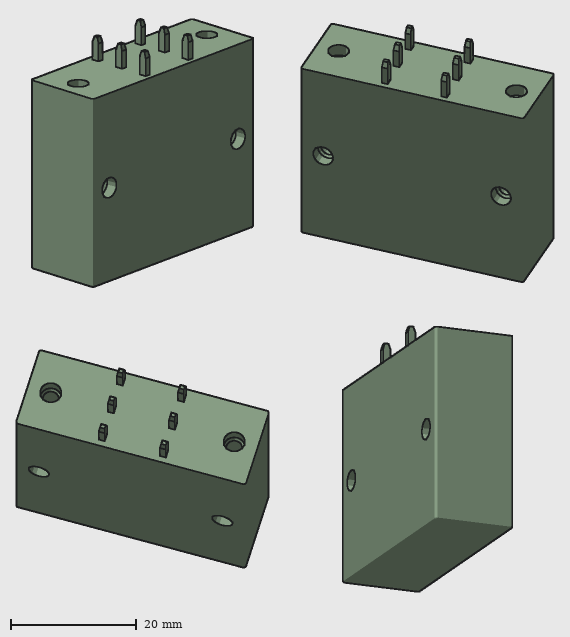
import cadquery as cq

body_x = 13.4
body_y = 38.08
body_z = 32.0
edge_radius = 0.4

pin_x = 1.3
pin_y = 1.0
pin_height = 4.0
tip_height = 1.0
tip_x = 0.65
tip_y = 0.75
pin_pitch_x = 5.05
pin_pitch_y = 2 * pin_pitch_x
pin_columns = 3
pin_rows = 2

hole_spacing = 6 * pin_pitch_x
wide_bore_diameter = 3.35
wide_bore_depth = 1.98
narrow_bore_diameter = 2.55

pin_overlap = 0.05


def make_body():
    """Block with its base at Z = 0, rounded everywhere except around the top face."""
    block = cq.Workplane("XY").box(body_x, body_y, body_z, centered=(True, True, False))
    return block.edges("|Z or <Z").fillet(edge_radius)


def make_pin(x, y):
    """Rectangular pin standing on the top face, with a tapered tip."""
    shank_height = pin_height - tip_height
    shank = (
        cq.Workplane("XY", origin=(x, y, body_z - pin_overlap))
        .rect(pin_x, pin_y)
        .extrude(shank_height + pin_overlap)
    )
    tip = (
        cq.Workplane("XY", origin=(x, y, body_z + shank_height))
        .rect(pin_x, pin_y)
        .workplane(offset=tip_height)
        .rect(tip_x, tip_y)
        .loft(ruled=True)
    )
    return shank.union(tip)


def stepped_hole(mouth, direction, depth):
    """Wide bore from the mouth, a 45 degree cone down to the narrow bore, then the narrow bore."""
    wide_radius = wide_bore_diameter / 2
    narrow_radius = narrow_bore_diameter / 2
    cone_depth = wide_radius - narrow_radius
    cone_start = mouth + direction * wide_bore_depth
    wide_bore = cq.Solid.makeCylinder(wide_radius, wide_bore_depth, mouth, direction)
    cone = cq.Solid.makeCone(wide_radius, narrow_radius, cone_depth, cone_start, direction)
    narrow_bore = cq.Solid.makeCylinder(narrow_radius, depth, mouth, direction)
    return cq.Workplane(narrow_bore).union(cq.Workplane(wide_bore)).union(cq.Workplane(cone))


def make_mounting_holes(y):
    """Cross hole stepped at both X faces, and a hole from the top face that ends at its axis."""
    middle_z = body_z / 2
    left = stepped_hole(cq.Vector(-body_x / 2, y, middle_z), cq.Vector(1, 0, 0), body_x)
    right = stepped_hole(cq.Vector(body_x / 2, y, middle_z), cq.Vector(-1, 0, 0), body_x)
    top = stepped_hole(cq.Vector(0, y, body_z), cq.Vector(0, 0, -1), body_z - middle_z)
    return left.union(right).union(top)


result = make_body()

for side in (-1, 1):
    result = result.cut(make_mounting_holes(side * hole_spacing / 2))

for column in range(pin_columns):
    for row in range(pin_rows):
        x = (column - (pin_columns - 1) / 2) * pin_pitch_x
        y = (row - (pin_rows - 1) / 2) * pin_pitch_y
        result = result.union(make_pin(x, y))